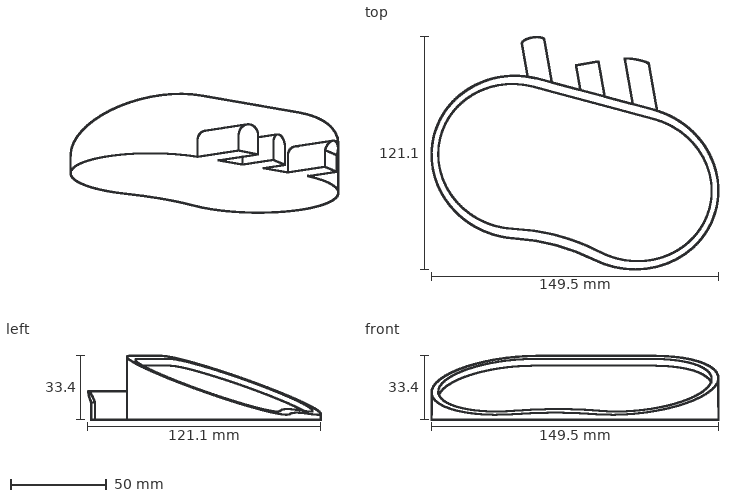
import math

import cadquery as cq

slope_angle = 20.0
body_turn = -15.0
centre_height = 18.0
lobe_radius = 45.0
lobe_spacing = 62.0
waist_radius = 100.0

tray_lobe_radius = 40.0
tray_lobe_spacing = 65.0
tray_depth = 3.5

finger_radius = 6.0
finger_axis_height = 9.0
finger_length = 39.0
finger_turn = 10.0
fingers = [
    (-21.8, 68.1, 0.0, 21.5),
    (6.38, 56.95, 0.0, 0.0),
    (32.2, 58.0, -21.0, 8.5),
]

slope = math.radians(slope_angle)
clearance = 100.0


def sloping_plane(drop):
    """Plane of the sloping top, lowered by the given height."""
    return cq.Plane(
        origin=(0, 0, centre_height - drop),
        xDir=(1, 0, 0),
        normal=(0, -math.sin(slope), math.cos(slope)),
    )


def kidney_column(radius, spacing, drop, height):
    """Upright column, standing on the lowered sloping plane, whose section in that plane is a kidney.

    Two round lobes share a straight back, and a hollow front arc is tangent to both.
    """
    half = spacing / 2
    waist_y = -math.sqrt((radius + waist_radius) ** 2 - half**2)
    joint_share = radius / (radius + waist_radius)
    joint_x = half * (1 - joint_share)
    joint_y = waist_y * joint_share
    outline = (
        cq.Workplane(sloping_plane(drop))
        .moveTo(-half, radius)
        .lineTo(half, radius)
        .threePointArc((half + radius, 0), (joint_x, joint_y))
        .threePointArc((0, waist_y + waist_radius), (-joint_x, joint_y))
        .threePointArc((-half - radius, 0), (-half, radius))
        .close()
    )
    return cq.Workplane(cq.Solid.extrudeLinear(outline.val(), [], cq.Vector(0, 0, height)))


def make_body():
    """Kidney block with a flat base, a sloping top and the sunken tray."""
    block = kidney_column(lobe_radius, lobe_spacing, 0, -clearance)
    cube_side = 2 * clearance
    below_base = cq.Workplane().box(cube_side, cube_side, cube_side).translate((0, 0, -clearance))
    tray = kidney_column(tray_lobe_radius, tray_lobe_spacing, tray_depth, clearance)
    return block.cut(below_base).cut(tray).rotate((0, 0, 0), (0, 0, 1), body_turn)


def make_finger(end_x, end_y, end_skew, overhang_angle):
    """Half-round-topped bar with an upright end below its axis and an overhanging end above.

    The bar starts one radius too long, which leaves stock for trimming the skewed end.
    """
    crown_height = finger_axis_height + finger_radius
    section = (
        cq.Workplane("XZ", origin=(0, finger_radius, 0))
        .moveTo(-finger_radius, 0)
        .lineTo(-finger_radius, finger_axis_height)
        .threePointArc((0, crown_height), (finger_radius, finger_axis_height))
        .lineTo(finger_radius, 0)
        .close()
    )
    bar = section.extrude(finger_length + finger_radius)
    overhang = finger_radius * math.tan(math.radians(overhang_angle))
    beyond_end = (
        cq.Workplane("YZ", origin=(-clearance, 0, 0))
        .lineTo(0, finger_axis_height)
        .lineTo(overhang, crown_height)
        .lineTo(clearance, crown_height)
        .lineTo(clearance, 0)
        .close()
        .extrude(2 * clearance)
        .rotate((0, 0, 0), (0, 0, 1), end_skew)
    )
    finger = bar.cut(beyond_end).rotate((0, 0, 0), (0, 0, 1), finger_turn)
    return finger.translate((end_x, end_y, 0))


result = make_body()
for finger_data in fingers:
    result = result.union(make_finger(*finger_data))